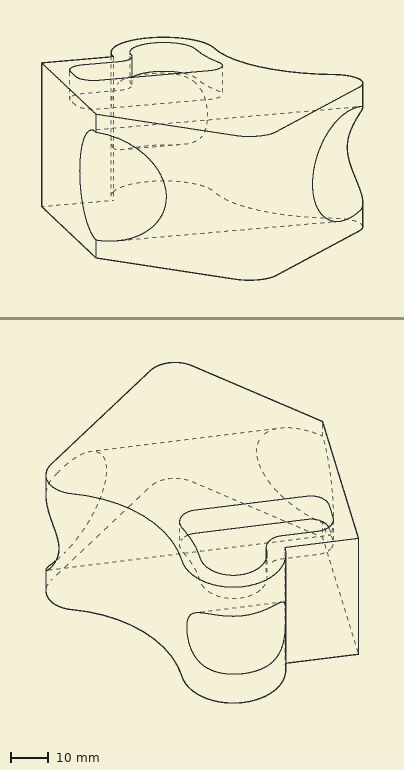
import cadquery as cq
import math

height = 40.0
base_length = 50.0
left_wall = 20.0
lobe_radius = 14.0
sweep_radius = 35.0
corner_radius = 8.0
rim = 5.0
pocket_width = 15.0
pocket_depth = 8.0
pocket_corner = 5.0
bore_radius = 15.0
notch_radius = 10.0

cos45 = math.sqrt(0.5)
lobe_y = left_wall + lobe_radius
sweep_y = lobe_y + lobe_radius + sweep_radius
elbow_x = base_length + base_length * cos45
elbow_y = base_length * cos45
pocket_right = rim + pocket_width


def sweep_point(radius, angle):
    """Point on a circle about the sweep centre, angle measured from +X."""
    return (radius * math.cos(angle), sweep_y + radius * math.sin(angle))


def body():
    """Prism with a lobe, a concave sweep and a tip rounded into both neighbours."""
    tip_sum = elbow_x + elbow_y - corner_radius / cos45
    tip_reach = sweep_radius + corner_radius
    offset_sum = tip_sum - sweep_y
    tip_x = (offset_sum + math.sqrt(2 * tip_reach**2 - offset_sum**2)) / 2
    tip_y = tip_sum - tip_x
    ratio = sweep_radius / tip_reach
    sweep_end = (tip_x * ratio, sweep_y + (tip_y - sweep_y) * ratio)
    end_angle = math.atan2(tip_y - sweep_y, tip_x)
    sweep_mid = sweep_point(sweep_radius, (end_angle - math.pi / 2) / 2)
    tip_end = (tip_x + corner_radius * cos45, tip_y + corner_radius * cos45)

    prism = (
        cq.Workplane("XY")
        .lineTo(base_length, 0)
        .lineTo(elbow_x, elbow_y)
        .lineTo(*tip_end)
        .threePointArc((tip_x, tip_y + corner_radius), sweep_end)
        .threePointArc(sweep_mid, (0, lobe_y + lobe_radius))
        .threePointArc((-lobe_radius, lobe_y), (0, left_wall))
        .close()
        .extrude(height)
    )
    elbow = cq.selectors.NearestToPointSelector((elbow_x, elbow_y, height / 2))
    return prism.edges(elbow).fillet(corner_radius)


def pocket():
    """Blind pocket in the top face, keeping an even rim along the lobe, sweep and left edge."""
    inner_lobe = lobe_radius - rim
    inner_sweep = sweep_radius + rim
    end_angle = -math.acos(pocket_right / inner_sweep)
    sweep_end = sweep_point(inner_sweep, end_angle)
    sweep_mid = sweep_point(inner_sweep, (end_angle - math.pi / 2) / 2)
    cut = (
        cq.Workplane("XY", origin=(0, 0, height - pocket_depth))
        .moveTo(rim, rim)
        .lineTo(pocket_right, rim)
        .lineTo(*sweep_end)
        .threePointArc(sweep_mid, (0, lobe_y + inner_lobe))
        .threePointArc((-inner_lobe, lobe_y), (0, left_wall + rim))
        .threePointArc((rim * cos45, left_wall + rim * cos45), (rim, left_wall))
        .close()
        .extrude(pocket_depth)
    )
    corners = [(rim, rim), (pocket_right, rim), sweep_end]
    for x, y in corners:
        nearest = cq.selectors.NearestToPointSelector((x, y, height - pocket_depth / 2))
        cut = cut.edges(nearest).fillet(pocket_corner)
    return cut


def cylinder_along_y(x, radius):
    """Cylinder at mid height running past the full Y extent of the part."""
    return (
        cq.Workplane("XZ", origin=(x, 0, height / 2))
        .circle(radius)
        .extrude(-sweep_y)
    )


result = (
    body()
    .cut(pocket())
    .cut(cylinder_along_y(base_length, bore_radius))
    .cut(cylinder_along_y(-lobe_radius, notch_radius))
)